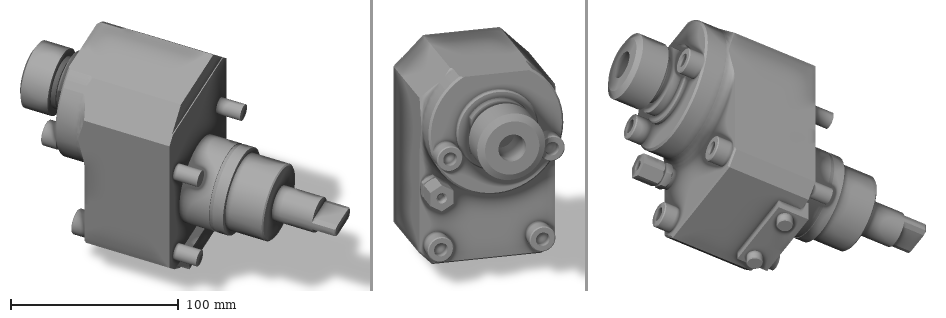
import cadquery as cq
import math


WIDTH = 84.0
HALF_WIDTH = WIDTH / 2
TOP_Z = 80.0
BOTTOM_Z = -45.2
TOP_CHAMFER = 18.2
BOTTOM_CHAMFER = 8.1
FRONT_EDGE_CHAMFER = 1.0
FRONT_X = -55.3
REAR_PAD_THICKNESS = 0.6
REAR_PAD_TOP_Z = 66.8

JOIN_OVERLAP = 2.0

SPINDLE_Z = 44.8
HEAD_FACE_X = -75.0
HEAD_DIAMETER = 83.7
HEAD_RADIUS = HEAD_DIAMETER / 2
HEAD_CHAMFER = 1.2
HEAD_ROOT_FILLET = 5.5
HEAD_STRAIGHT_END_X = FRONT_X - HEAD_ROOT_FILLET

NOSE_X = -108.4
NOSE_RADIUS = 21.0
NOSE_END_X = -88.7
NOSE_CHAMFER_LENGTH = 2.2
NOSE_CHAMFER_DEPTH = 4.3
NOSE_BORE_RADIUS = 8.5
NOSE_BORE_DEPTH = 24.3
FLATS_START_X = -83.5
FLATS_END_X = -78.4
FLATS_HALF_WIDTH = 18.0
SPINDLE_SHOULDER_END_X = -85.7
SPINDLE_SHOULDER_RADIUS = 16.2
SPINDLE_NECK_RADIUS = 15.0
COVER_RING_X = -77.8
COVER_RING_RADIUS = 25.3
COVER_RING_CHAMFER = 0.8

SHANK_DIAMETER = 54.9
SHANK_RADIUS = SHANK_DIAMETER / 2
SHANK_END_X = 28.4
GROOVE_START_X = 19.2
GROOVE_END_X = 21.5
GROOVE_DEPTH = 0.6
PILOT_RADIUS = 24.1
PILOT_END_X = 52.9
PILOT_CHAMFER = 0.8
SHAFT_DIAMETER = 22.0
SHAFT_RADIUS = SHAFT_DIAMETER / 2
SHAFT_END_X = 79.0
TANG_END_X = 94.2
TANG_THICKNESS = 8.0
TANG_HALF_THICKNESS = TANG_THICKNESS / 2
TANG_FLAT_HALF_WIDTH = 7.7
TANG_SIDE_HALF_HEIGHT = 2.6
TANG_SIDE_HALF_WIDTH = math.sqrt(SHAFT_RADIUS**2 - TANG_SIDE_HALF_HEIGHT**2)
TANG_END_CHAMFER = 0.6

SCREW_Y = 31.5
SCREW_Z = 32.5
SCREW_HEAD_DIAMETER = 16.0
SCREW_HEAD_RADIUS = SCREW_HEAD_DIAMETER / 2
SCREW_HEAD_HEIGHT = 10.0
SCREW_HEAD_CHAMFER = 0.6
SCREW_SOCKET_RADIUS = 4.3
SCREW_SOCKET_DEPTH = 5.0
SCREW_SHANK_DIAMETER = 10.3
SCREW_SHANK_RADIUS = SCREW_SHANK_DIAMETER / 2
UPPER_SCREW_END_X = 15.5
LOWER_SCREW_END_X = 15.0

NOZZLE_Y = 34.6
NOZZLE_Z = 5.3
NOZZLE_ACROSS_FLATS = 14.4
NOZZLE_ACROSS_CORNERS = NOZZLE_ACROSS_FLATS / math.cos(math.pi / 6)
NOZZLE_FRONT_X = -77.8
NOZZLE_HEX_END_X = -63.2
NUT_START_X = -62.0
NUT_END_X = -57.7
NOZZLE_STEM_RADIUS = 6.9
NOZZLE_NECK_RADIUS = 3.5
NOZZLE_CORNER_BEVEL = 1.0
NOZZLE_BORE_RADIUS = 2.2
NOZZLE_BORE_DEPTH = 10.1
NOZZLE_MOUTH_RADIUS = 3.2

KEY_HALF_LENGTH = 24.7
KEY_FRONT_X = -15.2
KEY_REAR_X = 5.3
KEY_TOP_Z = BOTTOM_Z + BOTTOM_CHAMFER
KEY_BOTTOM_Z = -51.0
KEY_SCREW_X = -7.0
KEY_SCREW_Y = 18.0
KEY_SCREW_DIAMETER = 10.0
KEY_SCREW_RADIUS = KEY_SCREW_DIAMETER / 2
KEY_SCREW_BOTTOM_Z = -57.0
KEY_SCREW_CHAMFER = 0.6


def revolve_about_x(points, y=0, z=0):
    """Turn a closed (x, radius) outline about a line parallel to X."""
    profile = cq.Workplane("XY").polyline(points).close()
    return profile.revolve(360, (0, 0, 0), (1, 0, 0)).translate((0, y, z))


def cylinder_x(start, end, radius, y=0, z=0):
    return cq.Workplane("YZ", origin=(start, y, z)).circle(radius).extrude(end - start)


def block(x_range, y_range, z_range):
    size = [high - low for low, high in (x_range, y_range, z_range)]
    corner = (x_range[0], y_range[0], z_range[0])
    return cq.Workplane("XY").box(*size, centered=False).translate(corner)


def housing_prism(start, end):
    """Housing outline, with its four chamfered corners, extruded along X."""
    height = TOP_Z - BOTTOM_Z
    center_z = (TOP_Z + BOTTOM_Z) / 2
    prism = cq.Workplane("YZ", origin=(start, 0, center_z)).rect(WIDTH, height).extrude(end - start)
    prism = prism.edges("|X and >Z").chamfer(TOP_CHAMFER)
    return prism.edges("|X and <Z").chamfer(BOTTOM_CHAMFER)


def housing():
    body = housing_prism(FRONT_X, -REAR_PAD_THICKNESS)
    margin = FRONT_EDGE_CHAMFER
    lower_front = cq.selectors.BoxSelector(
        (FRONT_X - margin, -HALF_WIDTH, BOTTOM_Z - margin),
        (FRONT_X + margin, HALF_WIDTH, BOTTOM_Z + BOTTOM_CHAMFER),
    )
    lower_edges = body.faces("<X").edges(lower_front)
    body = lower_edges.chamfer(FRONT_EDGE_CHAMFER)
    pad_limits = block((-REAR_PAD_THICKNESS, 0), (-HALF_WIDTH, HALF_WIDTH), (BOTTOM_Z, REAR_PAD_TOP_Z))
    pad = housing_prism(-REAR_PAD_THICKNESS, 0).intersect(pad_limits)
    return body.union(pad)


def spindle_head():
    """Round head blending into the housing, trimmed to the housing outline."""
    root_radius = HEAD_RADIUS + HEAD_ROOT_FILLET
    arc_offset = HEAD_ROOT_FILLET * math.sqrt(0.5)
    overlap_x = FRONT_X + JOIN_OVERLAP
    profile = (
        cq.Workplane("XY")
        .moveTo(HEAD_FACE_X, 0)
        .lineTo(HEAD_FACE_X, HEAD_RADIUS - HEAD_CHAMFER)
        .lineTo(HEAD_FACE_X + HEAD_CHAMFER, HEAD_RADIUS)
        .lineTo(HEAD_STRAIGHT_END_X, HEAD_RADIUS)
        .threePointArc(
            (HEAD_STRAIGHT_END_X + arc_offset, root_radius - arc_offset),
            (FRONT_X, root_radius),
        )
        .lineTo(overlap_x, root_radius)
        .lineTo(overlap_x, 0)
        .close()
    )
    head = profile.revolve(360, (0, 0, 0), (1, 0, 0)).translate((0, 0, SPINDLE_Z))
    return head.intersect(housing_prism(HEAD_FACE_X, overlap_x))


def spindle():
    nose = revolve_about_x(
        [
            (NOSE_X, 0),
            (NOSE_X, NOSE_RADIUS - NOSE_CHAMFER_DEPTH),
            (NOSE_X + NOSE_CHAMFER_LENGTH, NOSE_RADIUS),
            (NOSE_END_X, NOSE_RADIUS),
            (NOSE_END_X, SPINDLE_SHOULDER_RADIUS),
            (SPINDLE_SHOULDER_END_X, SPINDLE_SHOULDER_RADIUS),
            (SPINDLE_SHOULDER_END_X, SPINDLE_NECK_RADIUS),
            (COVER_RING_X, SPINDLE_NECK_RADIUS),
            (COVER_RING_X, COVER_RING_RADIUS - COVER_RING_CHAMFER),
            (COVER_RING_X + COVER_RING_CHAMFER, COVER_RING_RADIUS),
            (HEAD_FACE_X, COVER_RING_RADIUS),
            (HEAD_FACE_X, 0),
        ],
        z=SPINDLE_Z,
    )
    collar = cylinder_x(FLATS_START_X, FLATS_END_X, NOSE_RADIUS, z=SPINDLE_Z)
    flats = block(
        (FLATS_START_X, FLATS_END_X),
        (-FLATS_HALF_WIDTH, FLATS_HALF_WIDTH),
        (SPINDLE_Z - NOSE_RADIUS, SPINDLE_Z + NOSE_RADIUS),
    )
    bore = cylinder_x(NOSE_X, NOSE_X + NOSE_BORE_DEPTH, NOSE_BORE_RADIUS, z=SPINDLE_Z)
    return nose.union(collar.intersect(flats)).cut(bore)


def drive_shank():
    shank = revolve_about_x(
        [
            (-JOIN_OVERLAP, 0),
            (-JOIN_OVERLAP, SHANK_RADIUS),
            (GROOVE_START_X, SHANK_RADIUS),
            (GROOVE_START_X, SHANK_RADIUS - GROOVE_DEPTH),
            (GROOVE_END_X, SHANK_RADIUS - GROOVE_DEPTH),
            (GROOVE_END_X, SHANK_RADIUS),
            (SHANK_END_X, SHANK_RADIUS),
            (SHANK_END_X, PILOT_RADIUS),
            (PILOT_END_X - PILOT_CHAMFER, PILOT_RADIUS),
            (PILOT_END_X, PILOT_RADIUS - PILOT_CHAMFER),
            (PILOT_END_X, SHAFT_RADIUS),
            (SHAFT_END_X, SHAFT_RADIUS),
            (SHAFT_END_X, 0),
        ]
    )
    return shank.union(drive_tang())


def drive_tang():
    """Flat driving tang with bevelled corners, rounded like the shaft at its sides."""
    start = SHAFT_END_X - JOIN_OVERLAP
    upper = [
        (SHAFT_RADIUS, TANG_SIDE_HALF_HEIGHT),
        (TANG_SIDE_HALF_WIDTH, TANG_SIDE_HALF_HEIGHT),
        (TANG_FLAT_HALF_WIDTH, TANG_HALF_THICKNESS),
        (-TANG_FLAT_HALF_WIDTH, TANG_HALF_THICKNESS),
        (-TANG_SIDE_HALF_WIDTH, TANG_SIDE_HALF_HEIGHT),
        (-SHAFT_RADIUS, TANG_SIDE_HALF_HEIGHT),
    ]
    lower = [(-y, -z) for y, z in upper]
    outline = cq.Workplane("YZ", origin=(start, 0, 0)).polyline(upper + lower).close()
    slab = outline.extrude(TANG_END_X - start)
    rod = cylinder_x(start, TANG_END_X, SHAFT_RADIUS).faces(">X").chamfer(TANG_END_CHAMFER)
    return slab.intersect(rod)


def mounting_screw(y, z, seat_x, end_x):
    """Socket-head screw along X: the head stands in front of seat_x, the shank ends at end_x."""
    top_x = seat_x - SCREW_HEAD_HEIGHT
    socket_x = top_x + SCREW_SOCKET_DEPTH
    outline = [
        (socket_x + SCREW_SOCKET_RADIUS / 2, 0),
        (socket_x, SCREW_SOCKET_RADIUS),
        (top_x, SCREW_SOCKET_RADIUS),
        (top_x, SCREW_HEAD_RADIUS - SCREW_HEAD_CHAMFER),
        (top_x + SCREW_HEAD_CHAMFER, SCREW_HEAD_RADIUS),
        (seat_x, SCREW_HEAD_RADIUS),
        (seat_x, SCREW_SHANK_RADIUS),
        (end_x, SCREW_SHANK_RADIUS),
        (end_x, 0),
    ]
    return revolve_about_x(outline, y, z)


def bevelled_hex(start, end):
    """Hexagonal bar along X with its corners bevelled at the rear end."""
    hexagon = (
        cq.Workplane("YZ", origin=(start, 0, 0))
        .transformed(rotate=(0, 0, 90))
        .polygon(6, NOZZLE_ACROSS_CORNERS)
        .extrude(end - start)
    )
    corner_radius = NOZZLE_ACROSS_CORNERS / 2
    envelope = cylinder_x(start, end, corner_radius).faces(">X").chamfer(NOZZLE_CORNER_BEVEL)
    return hexagon.intersect(envelope)


def coolant_nozzle():
    nozzle = bevelled_hex(NOZZLE_FRONT_X, NOZZLE_HEX_END_X)
    nozzle = nozzle.union(bevelled_hex(NUT_START_X, NUT_END_X))
    nozzle = nozzle.union(cylinder_x(NOZZLE_HEX_END_X, NUT_START_X, NOZZLE_NECK_RADIUS))
    nozzle = nozzle.union(cylinder_x(NUT_END_X, FRONT_X + JOIN_OVERLAP, NOZZLE_STEM_RADIUS))
    return nozzle.translate((0, NOZZLE_Y, NOZZLE_Z))


def nozzle_bore():
    """Bore with a 45 degree countersunk mouth."""
    outline = [
        (NOZZLE_FRONT_X, 0),
        (NOZZLE_FRONT_X, NOZZLE_MOUTH_RADIUS),
        (NOZZLE_FRONT_X + NOZZLE_MOUTH_RADIUS - NOZZLE_BORE_RADIUS, NOZZLE_BORE_RADIUS),
        (NOZZLE_FRONT_X + NOZZLE_BORE_DEPTH, NOZZLE_BORE_RADIUS),
        (NOZZLE_FRONT_X + NOZZLE_BORE_DEPTH, 0),
    ]
    return revolve_about_x(outline, NOZZLE_Y, NOZZLE_Z)


def locating_key():
    key = block(
        (KEY_FRONT_X, KEY_REAR_X),
        (-KEY_HALF_LENGTH, KEY_HALF_LENGTH),
        (KEY_BOTTOM_Z, KEY_TOP_Z),
    )
    screws = (
        cq.Workplane("XY", origin=(KEY_SCREW_X, 0, KEY_SCREW_BOTTOM_Z))
        .pushPoints([(0, -KEY_SCREW_Y), (0, KEY_SCREW_Y)])
        .circle(KEY_SCREW_RADIUS)
        .extrude(KEY_BOTTOM_Z - KEY_SCREW_BOTTOM_Z)
        .faces("<Z")
        .chamfer(KEY_SCREW_CHAMFER)
    )
    return key.union(screws)


result = housing().union(spindle_head()).union(spindle()).union(drive_shank())
result = result.union(coolant_nozzle()).cut(nozzle_bore())
result = result.union(locating_key())
for side in (-1, 1):
    result = result.union(mounting_screw(side * SCREW_Y, SCREW_Z, HEAD_FACE_X, UPPER_SCREW_END_X))
    result = result.union(mounting_screw(side * SCREW_Y, -SCREW_Z, FRONT_X, LOWER_SCREW_END_X))